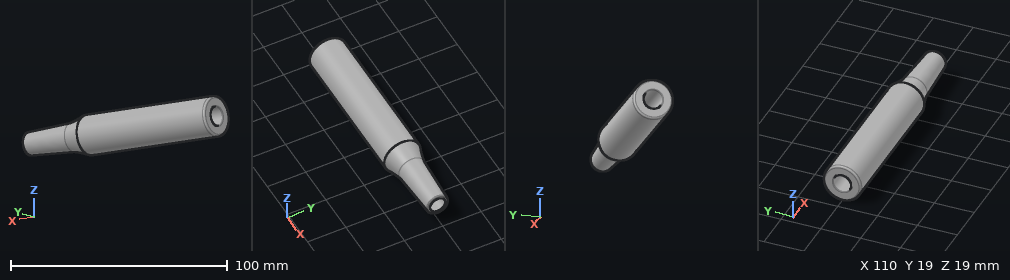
import cadquery as cq

length = 110.0
body_radius = 19.0 / 2
shoulder_x = 74.9
neck_x = 84.3
neck_radius = 6.8
tip_radius = 5.5
flare_mid_x = (shoulder_x + neck_x) / 2
flare_sag = 0.2
flare_mid_radius = (body_radius + neck_radius) / 2 - flare_sag

rear_fillet = 1.0
tip_fillet = 0.5
mouth_fillet = 0.3

bore_radius = 9.0 / 2
tip_bore_radius = 7.9 / 2


def make_body():
    """Revolve the outer profile and round its two end edges."""
    profile = (
        cq.Workplane("XY")
        .lineTo(0, body_radius)
        .lineTo(shoulder_x, body_radius)
        .threePointArc((flare_mid_x, flare_mid_radius), (neck_x, neck_radius))
        .lineTo(length, tip_radius)
        .lineTo(length, 0)
        .close()
    )
    body = profile.revolve(360, (0, 0, 0), (1, 0, 0))
    body = body.faces("<X").edges().fillet(rear_fillet)
    return body.faces(">X").edges().fillet(tip_fillet)


def make_bore():
    """Revolve the bore, with a rounded mouth flaring out to the rear face."""
    arc_drop = mouth_fillet * (1 - 0.5**0.5)
    profile = (
        cq.Workplane("XY")
        .lineTo(0, bore_radius + mouth_fillet)
        .threePointArc((arc_drop, bore_radius + arc_drop), (mouth_fillet, bore_radius))
        .lineTo(neck_x, bore_radius)
        .lineTo(length, tip_bore_radius)
        .lineTo(length, 0)
        .close()
    )
    return profile.revolve(360, (0, 0, 0), (1, 0, 0))


result = make_body().cut(make_bore())